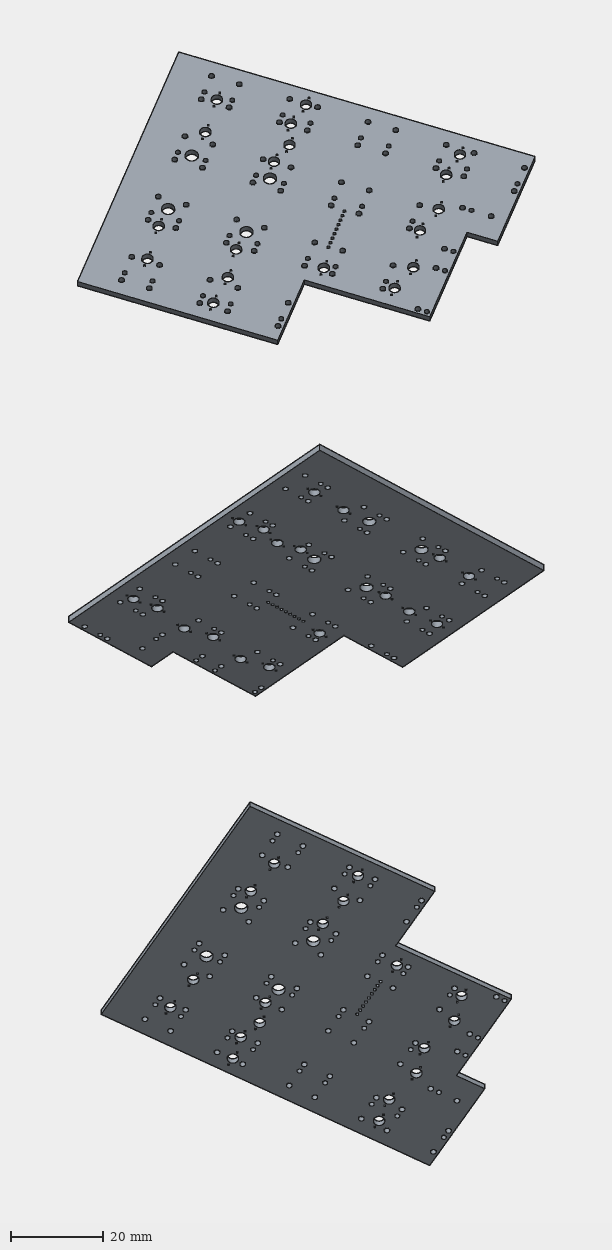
import cadquery as cq

plate_width = 82.0
plate_depth = 64.8
plate_thickness = 1.6
lower_step_x = 46.1
upper_step_x = 74.95
upper_step_y = 40.8

column_count = 5
row_count = 4
first_to_last_column = 72.0
first_to_last_row = 51.0
column_pitch = first_to_last_column / (column_count - 1)
row_pitch = first_to_last_row / (row_count - 1)
lower_step_y = row_pitch

large_hole_diameter = 1.2
small_hole_diameter = 1.1
small_hole_offset = 4.5
far_hole_offset = 6.6

first_column_x = 8.85
first_row_y = 10.2
column_pair_spacing = 6.4
left_groups_per_row = [3, 4, 4, 5]
right_groups_per_row = [2, 3, 3, 4]

sideways_x = 78.4
sideways_top_y = 46.65
sideways_pair_spacing = 11.6

socket_diameter = 2.5
socket_pin_diameter = 0.4
socket_pin_offset = 1.9
socket_centers = [
    (30.7, 60.9),
    (66.5, 59.8),
    (12.05, 55.7),
    (29.3, 55.1),
    (65.5, 53.7),
    (30.9, 49.7),
    (12.6, 46.7),
    (67.1, 44.6),
    (29.3, 44.4),
    (65.2, 37.9),
    (67.15, 28.2),
    (65.2, 21.65),
    (48.95, 21.5),
    (11.6, 19.85),
    (29.4, 19.7),
    (30.25, 12.1),
    (12.2, 10.8),
    (29.6, 4.7),
]

mounting_diameter = 2.9
mounting_x = 12.0
mounting_y = 24.8
mounting_spacing_y = 15.1

connector_diameter = 0.65
connector_count = 9
connector_length = 10.2
connector_pitch = connector_length / (connector_count - 1)
connector_x = 48.05
connector_y = 27.0


def make_plate():
    outline = [
        (0, 0),
        (lower_step_x, 0),
        (lower_step_x, lower_step_y),
        (upper_step_x, lower_step_y),
        (upper_step_x, upper_step_y),
        (plate_width, upper_step_y),
        (plate_width, plate_depth),
        (0, plate_depth),
    ]
    return cq.Workplane("XY").polyline(outline).close().extrude(plate_thickness)


def drill(plate, centers, diameter):
    """Cut a through hole at every centre."""
    drills = cq.Workplane("XY").pushPoints(centers).circle(diameter / 2).extrude(plate_thickness)
    return plate.cut(drills)


def upright_group_starts():
    """Topmost hole of every upright group, row by row."""
    starts = []
    for row, (left_count, right_count) in enumerate(zip(left_groups_per_row, right_groups_per_row)):
        y = first_row_y + row * row_pitch
        for column in range(left_count):
            starts.append((first_column_x + column * column_pitch, y))
        for column in range(right_count):
            starts.append((first_column_x + column_pair_spacing + column * column_pitch, y))
    return starts


def sideways_group_starts():
    """Rightmost hole of every sideways group; it may fall outside the plate."""
    starts = []
    for row in range(2):
        y = sideways_top_y - row * row_pitch
        starts.append((sideways_x, y))
        starts.append((sideways_x, y - sideways_pair_spacing))
    return starts


def drill_groups(plate, starts, direction):
    """Drill a three-hole group from each start along the unit direction."""
    dx, dy = direction

    def shifted(offset):
        return [(x + dx * offset, y + dy * offset) for x, y in starts]

    plate = drill(plate, shifted(0) + shifted(far_hole_offset), large_hole_diameter)
    return drill(plate, shifted(small_hole_offset), small_hole_diameter)


def drill_sockets(plate):
    pins = []
    for x, y in socket_centers:
        pins.append((x, y + socket_pin_offset))
        pins.append((x, y - socket_pin_offset))
    plate = drill(plate, socket_centers, socket_diameter)
    return drill(plate, pins, socket_pin_diameter)


def drill_mounting_holes(plate):
    centers = [
        (mounting_x + column * column_pitch, mounting_y + row * mounting_spacing_y)
        for column in range(2)
        for row in range(2)
    ]
    return drill(plate, centers, mounting_diameter)


def drill_connector(plate):
    centers = [(connector_x, connector_y + i * connector_pitch) for i in range(connector_count)]
    return drill(plate, centers, connector_diameter)


result = make_plate()
result = drill_groups(result, upright_group_starts(), (0, -1))
result = drill_groups(result, sideways_group_starts(), (-1, 0))
result = drill_sockets(result)
result = drill_mounting_holes(result)
result = drill_connector(result)